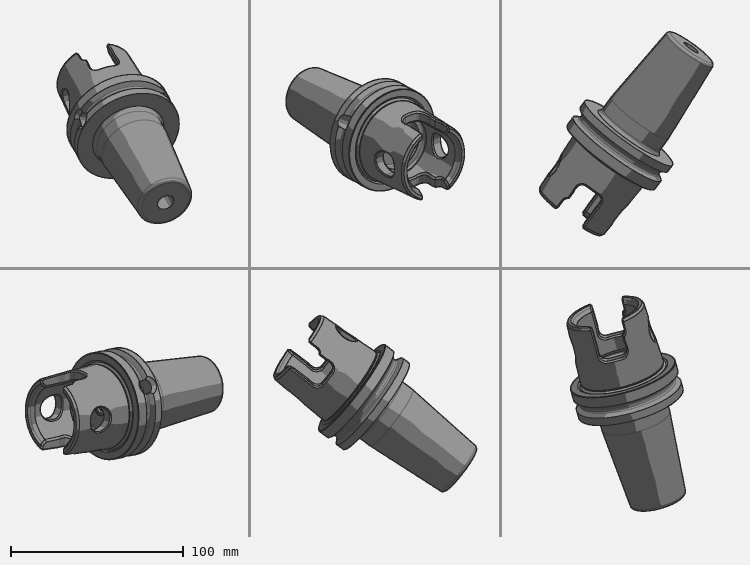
import cadquery as cq
import math

LENGTH = 120.0

SHANK_LENGTH = 38.5
MOUTH_RADIUS = 23.2
MOUTH_FACE_RADIUS = 22.2
MOUTH_BEVEL_LENGTH = 1.5
ROOT_RADIUS = 25.0
UNDERCUT_FLOOR_RADIUS = 24.5
UNDERCUT_LIP = 0.4
UNDERCUT_FLOOR_LENGTH = 0.6

FLANGE_START = 40.0
FLANGE_END = 57.9
FLANGE_RADIUS = 31.49
FLANGE_BEVEL = 0.4
RELIEF_OUTER_RADIUS = 27.0
RELIEF_INNER_RADIUS = 25.9
RELIEF_DEPTH = 0.5
GROOVE_CENTRE = 49.8
GROOVE_WIDTH = 6.8
GROOVE_FLOOR_RADIUS = 28.1
GROOVE_FLANK_ANGLE = 30.0
GROOVE_CORNER_RADIUS = 1.2

NECK_RADIUS = 20.5
NECK_FILLET_RADIUS = 3.5
NECK_FILLET_LENGTH = 2.9
TAPER_START = 69.0
TAPER_ANGLE = 4.5
NOSE_FILLET = 2.0

MOUTH_OPENING_RADIUS = 20.3
LEAD_IN_RADIUS = 19.2
LEAD_IN_LENGTH = 1.2
BORE_RADIUS = 17.8
BORE_LEAD_END = 3.4
BORE_END = 30.6
CLAMP_RECESS_RADIUS = 19.7
CLAMP_RECESS_FILLET = 1.2
CLAMP_RECESS_END = 34.3
WELL_RADIUS = 15.6
WELL_FLOOR = 38.4
WELL_FILLET = 1.2

SLOT_END = 21.7
SLOT_HALF_WIDTH = 8.0
SLOT_WIDE_HALF_WIDTH = 10.0
SLOT_WIDE_END = 6.4
SLOT_STEP_END = 9.7
SLOT_RELIEF_HALF_WIDTH = 8.3
SLOT_RELIEF_START = 14.2
SLOT_RELIEF_FULL = 16.0
SLOT_CORNER_RADIUS = 4.1
SLOT_EDGE_BEVEL = 1.0

CROSS_HOLE_X = 17.5
CROSS_HOLE_RADIUS = 7.2
CROSS_SLOT_STRETCH = 2.0
CROSS_HOLE_BEVEL = 0.7

FLANGE_HOLE_X = 51.0
FLANGE_HOLE_RADIUS = 4.14
FLANGE_HOLE_ELEVATION = 30.0
FLANGE_HOLE_FLOOR_RADIUS = 21.4
DRILL_POINT_ANGLE = 118.0
COUNTERSINK_RADIUS = 6.4

SCREW_RADIUS = 5.0
SCREW_LENGTH = 12.0
SCREW_BORE_BEVEL = 0.4
SCREW_HOLE_RADIUS = 2.9
SCREW_HOLE_BEVEL = 1.0

CLEARANCE = 0.1


def revolve_about_x(profile):
    return profile.close().revolve(360, (0, 0, 0), (1, 0, 0))


def make_outer_body():
    neck_start = FLANGE_END + NECK_FILLET_LENGTH
    fillet_drop = NECK_FILLET_RADIUS - math.sqrt(NECK_FILLET_RADIUS**2 - NECK_FILLET_LENGTH**2)
    nose_radius = NECK_RADIUS - (LENGTH - TAPER_START) * math.tan(math.radians(TAPER_ANGLE))
    profile = (
        cq.Workplane("XZ")
        .moveTo(0, 0)
        .lineTo(0, MOUTH_FACE_RADIUS)
        .lineTo(MOUTH_BEVEL_LENGTH, MOUTH_RADIUS)
        .lineTo(SHANK_LENGTH, ROOT_RADIUS)
        .lineTo(SHANK_LENGTH + UNDERCUT_LIP, UNDERCUT_FLOOR_RADIUS)
        .lineTo(SHANK_LENGTH + UNDERCUT_LIP + UNDERCUT_FLOOR_LENGTH, UNDERCUT_FLOOR_RADIUS)
        .lineTo(FLANGE_START + RELIEF_DEPTH, RELIEF_INNER_RADIUS)
        .lineTo(FLANGE_START, RELIEF_OUTER_RADIUS)
        .lineTo(FLANGE_START, FLANGE_RADIUS - FLANGE_BEVEL)
        .lineTo(FLANGE_START + FLANGE_BEVEL, FLANGE_RADIUS)
        .lineTo(FLANGE_END, FLANGE_RADIUS)
        .lineTo(FLANGE_END, NECK_RADIUS + fillet_drop)
        .radiusArc((neck_start, NECK_RADIUS), -NECK_FILLET_RADIUS)
        .lineTo(TAPER_START, NECK_RADIUS)
        .lineTo(LENGTH, nose_radius)
        .lineTo(LENGTH, 0)
    )
    return revolve_about_x(profile).faces(">X").edges().fillet(NOSE_FILLET)


def make_gripper_groove():
    depth = FLANGE_RADIUS - GROOVE_FLOOR_RADIUS
    flank_run = depth * math.tan(math.radians(GROOVE_FLANK_ANGLE))
    half_width = GROOVE_WIDTH / 2
    half_floor = half_width - flank_run
    section = cq.Workplane("XZ").polyline(
        [
            (GROOVE_CENTRE - half_width, FLANGE_RADIUS),
            (GROOVE_CENTRE - half_floor, GROOVE_FLOOR_RADIUS),
            (GROOVE_CENTRE + half_floor, GROOVE_FLOOR_RADIUS),
            (GROOVE_CENTRE + half_width, FLANGE_RADIUS),
        ]
    )
    groove = revolve_about_x(section)
    mid_radius = (FLANGE_RADIUS + GROOVE_FLOOR_RADIUS) / 2
    floor_circles = groove.edges("%CIRCLE").filter(lambda edge: edge.radius() < mid_radius)
    return floor_circles.fillet(GROOVE_CORNER_RADIUS)


def make_hollow():
    recess_start = BORE_END + CLAMP_RECESS_RADIUS - BORE_RADIUS
    profile = (
        cq.Workplane("XZ")
        .moveTo(0, 0)
        .lineTo(0, MOUTH_OPENING_RADIUS)
        .lineTo(LEAD_IN_LENGTH, LEAD_IN_RADIUS)
        .lineTo(BORE_LEAD_END, BORE_RADIUS)
        .lineTo(BORE_END, BORE_RADIUS)
        .lineTo(recess_start, CLAMP_RECESS_RADIUS)
        .lineTo(CLAMP_RECESS_END - CLAMP_RECESS_FILLET, CLAMP_RECESS_RADIUS)
        .radiusArc((CLAMP_RECESS_END, CLAMP_RECESS_RADIUS - CLAMP_RECESS_FILLET), CLAMP_RECESS_FILLET)
        .lineTo(CLAMP_RECESS_END, WELL_RADIUS)
        .lineTo(WELL_FLOOR, WELL_RADIUS)
        .lineTo(WELL_FLOOR, 0)
    )
    return revolve_about_x(profile).faces(">X").edges().fillet(WELL_FILLET)


def make_slots():
    """Drive slots through both sides, each wider towards -Y at the mouth."""
    corner = SLOT_CORNER_RADIUS
    rise = SLOT_WIDE_HALF_WIDTH - SLOT_HALF_WIDTH
    run = SLOT_STEP_END - SLOT_WIDE_END
    step_radius = (run**2 + rise**2) / (2 * rise)
    return (
        cq.Workplane("XY")
        .moveTo(0, SLOT_HALF_WIDTH)
        .lineTo(SLOT_RELIEF_START, SLOT_HALF_WIDTH)
        .lineTo(SLOT_RELIEF_FULL, SLOT_RELIEF_HALF_WIDTH)
        .lineTo(SLOT_END - corner, SLOT_RELIEF_HALF_WIDTH)
        .radiusArc((SLOT_END, SLOT_RELIEF_HALF_WIDTH - corner), corner)
        .lineTo(SLOT_END, corner - SLOT_RELIEF_HALF_WIDTH)
        .radiusArc((SLOT_END - corner, -SLOT_RELIEF_HALF_WIDTH), corner)
        .lineTo(SLOT_RELIEF_FULL, -SLOT_RELIEF_HALF_WIDTH)
        .lineTo(SLOT_RELIEF_START, -SLOT_HALF_WIDTH)
        .lineTo(SLOT_STEP_END, -SLOT_HALF_WIDTH)
        .radiusArc((SLOT_WIDE_END, -SLOT_WIDE_HALF_WIDTH), step_radius)
        .lineTo(0, -SLOT_WIDE_HALF_WIDTH)
        .close()
        .extrude(FLANGE_RADIUS, both=True)
    )


def make_cross_hole():
    """Round hole through the -Y wall; through the +Y wall it is stretched towards the mouth."""
    round_hole = cq.Solid.makeCylinder(
        CROSS_HOLE_RADIUS, FLANGE_RADIUS, cq.Vector(CROSS_HOLE_X, 0, 0), cq.Vector(0, -1, 0)
    )
    stretched_hole = (
        cq.Workplane("XZ", origin=(CROSS_HOLE_X - CROSS_SLOT_STRETCH / 2, 0, 0))
        .slot2D(2 * CROSS_HOLE_RADIUS + CROSS_SLOT_STRETCH, 2 * CROSS_HOLE_RADIUS)
        .extrude(-FLANGE_RADIUS)
    )
    return stretched_hole.union(cq.Workplane(round_hole))


def make_flange_hole(side, countersunk):
    """Radial blind hole with a drill point; side is +1 towards +Y or -1 towards -Y."""
    elevation = math.radians(FLANGE_HOLE_ELEVATION)
    outward = cq.Vector(0, side * math.cos(elevation), math.sin(elevation))
    centre = cq.Vector(FLANGE_HOLE_X, 0, 0)
    floor = centre + outward * FLANGE_HOLE_FLOOR_RADIUS
    rim = centre + outward * FLANGE_RADIUS
    point_depth = FLANGE_HOLE_RADIUS / math.tan(math.radians(DRILL_POINT_ANGLE / 2))
    bore = cq.Solid.makeCylinder(
        FLANGE_HOLE_RADIUS, FLANGE_RADIUS - FLANGE_HOLE_FLOOR_RADIUS + CLEARANCE, floor, outward
    )
    point = cq.Solid.makeCone(FLANGE_HOLE_RADIUS, 0, point_depth, floor, outward * -1)
    hole = cq.Workplane(bore).union(cq.Workplane(point))
    if countersunk:
        sink = cq.Solid.makeCone(COUNTERSINK_RADIUS, 0, COUNTERSINK_RADIUS, rim, outward * -1)
        hole = hole.union(cq.Workplane(sink))
    return hole


def make_screw_bore():
    bevel_start = SCREW_RADIUS + SCREW_BORE_BEVEL
    profile = (
        cq.Workplane("XZ")
        .moveTo(WELL_FLOOR, 0)
        .lineTo(WELL_FLOOR, bevel_start)
        .lineTo(WELL_FLOOR + SCREW_BORE_BEVEL, SCREW_RADIUS)
        .lineTo(LENGTH, SCREW_RADIUS)
        .lineTo(LENGTH, 0)
    )
    return revolve_about_x(profile)


def is_slot_rim(edge):
    """True for a rim of a slot wall, false for a Z-parallel line inside the wall."""
    box = edge.BoundingBox()
    parallel_to_z = max(box.xlen, box.ylen) < CLEARANCE
    at_mouth = box.xmax < CLEARANCE
    return at_mouth or not parallel_to_z


def bevel_slot_edges(body):
    """Bevels every rim edge of the slot walls, inside, outside and at the mouth."""
    walls = cq.selectors.BoxSelector(
        (-CLEARANCE, -SLOT_WIDE_HALF_WIDTH - CLEARANCE, -FLANGE_RADIUS),
        (SLOT_END + CLEARANCE, SLOT_RELIEF_HALF_WIDTH + CLEARANCE, FLANGE_RADIUS),
        boundingbox=True,
    )
    return body.edges(walls).filter(is_slot_rim).chamfer(SLOT_EDGE_BEVEL)


def bevel_cross_hole(body):
    """Bevels the curved rims of the cross hole, inside and outside the shank wall."""
    reach = CROSS_HOLE_RADIUS + CLEARANCE
    hole_space = cq.selectors.BoxSelector(
        (CROSS_HOLE_X - reach - CROSS_SLOT_STRETCH, -FLANGE_RADIUS, -reach),
        (CROSS_HOLE_X + reach, FLANGE_RADIUS, reach),
        boundingbox=True,
    )
    return body.edges(hole_space).edges("not |Y").chamfer(CROSS_HOLE_BEVEL)


def make_holder():
    shank = make_outer_body().cut(make_hollow()).cut(make_slots())
    shank = bevel_slot_edges(shank).cut(make_cross_hole())
    shank = bevel_cross_hole(shank)
    return (
        shank.cut(make_gripper_groove())
        .cut(make_flange_hole(-1, True))
        .cut(make_flange_hole(1, False))
        .cut(make_screw_bore())
    )


def make_screw():
    start = WELL_FLOOR + SCREW_BORE_BEVEL
    profile = (
        cq.Workplane("XZ")
        .moveTo(start, SCREW_HOLE_RADIUS + SCREW_HOLE_BEVEL)
        .lineTo(start, SCREW_RADIUS)
        .lineTo(start + SCREW_LENGTH, SCREW_RADIUS)
        .lineTo(start + SCREW_LENGTH, SCREW_HOLE_RADIUS)
        .lineTo(start + SCREW_HOLE_BEVEL, SCREW_HOLE_RADIUS)
    )
    return revolve_about_x(profile)


holder = make_holder()
screw = make_screw()
result = cq.Compound.makeCompound([holder.val(), screw.val()])